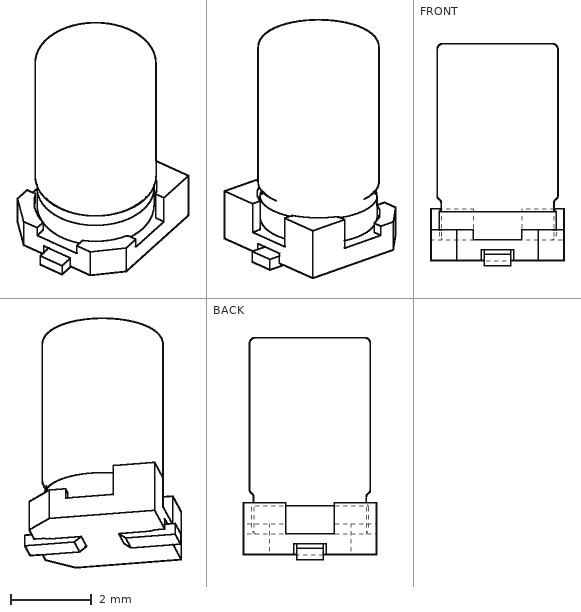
import cadquery as cq
import math

total_height = 5.5
base_width = 3.3
base_bottom = 0.13
floor_height = 0.645
low_post_height = 0.89
tall_post_height = 1.415
notch_width = 1.2
corner_chamfer = 0.64
bore_diameter = 3.04

can_diameter = 3.0
groove_diameter = 2.8
foot_diameter = 2.9
rim_radius = 0.15
foot_shoulder = 1.34
groove_bottom = 1.415
groove_top = 1.56
crimp_angle = math.radians(60)

lead_span = 3.8
lead_width = 0.665
lead_thickness = 0.285
bend_radius = 0.055
lead_inner_gap = 0.945
lead_end_chamfer_length = 0.175
riser_setback = 0.33

slot_width = 0.8
slot_straight_depth = 0.165
slot_top = 0.4


def make_can():
    """Revolved can with rounded ends and a crimped groove above its foot."""
    can_r = can_diameter / 2
    groove_r = groove_diameter / 2
    foot_r = foot_diameter / 2

    crimp_depth = can_r - groove_r
    crimp_radius = crimp_depth / 2 / (1 - math.cos(crimp_angle))
    crimp_rise = crimp_radius * math.sin(crimp_angle)
    arc_mid_in = crimp_radius * (1 - math.cos(crimp_angle / 2))
    arc_mid_rise = crimp_radius * math.sin(crimp_angle / 2)
    crimp_middle = (groove_r + crimp_depth / 2, groove_top + crimp_rise)
    crimp_top = groove_top + 2 * crimp_rise

    shoulder_depth = foot_r - groove_r
    shoulder_rise = groove_bottom - foot_shoulder
    shoulder_radius = (shoulder_depth**2 + shoulder_rise**2) / (2 * shoulder_depth)
    half_angle = math.asin(shoulder_rise / shoulder_radius) / 2
    shoulder_mid = (
        groove_r + shoulder_radius * (1 - math.cos(half_angle)),
        groove_bottom - shoulder_radius * math.sin(half_angle),
    )

    rim_mid = rim_radius * (1 - math.sqrt(0.5))

    profile = (
        cq.Workplane("XZ")
        .moveTo(0, floor_height)
        .lineTo(foot_r - rim_radius, floor_height)
        .threePointArc((foot_r - rim_mid, floor_height + rim_mid), (foot_r, floor_height + rim_radius))
        .lineTo(foot_r, foot_shoulder)
        .threePointArc(shoulder_mid, (groove_r, groove_bottom))
        .lineTo(groove_r, groove_top)
        .threePointArc((groove_r + arc_mid_in, groove_top + arc_mid_rise), crimp_middle)
        .threePointArc((can_r - arc_mid_in, crimp_top - arc_mid_rise), (can_r, crimp_top))
        .lineTo(can_r, total_height - rim_radius)
        .threePointArc((can_r - rim_mid, total_height - rim_mid), (can_r - rim_radius, total_height))
        .lineTo(0, total_height)
        .close()
    )
    return profile.revolve(360, (0, 0, 0), (0, 1, 0))


def make_posts():
    """Base block with a round seat for the can, leaving one post per corner."""
    half = base_width / 2
    block = (
        cq.Workplane("XY", origin=(0, 0, base_bottom))
        .rect(base_width, base_width)
        .extrude(low_post_height - base_bottom)
        .edges("|Z and <Y")
        .chamfer(corner_chamfer)
    )
    seat_depth = tall_post_height - floor_height
    tall_depth = half - notch_width / 2
    tall_posts = (
        cq.Workplane("XY", origin=(0, half - tall_depth / 2, floor_height))
        .rect(base_width, tall_depth)
        .extrude(seat_depth)
    )
    seat = cq.Workplane("XY", origin=(0, 0, floor_height))
    bore = seat.circle(bore_diameter / 2).extrude(seat_depth)
    notch_x = seat.rect(base_width, notch_width).extrude(seat_depth)
    notch_y = seat.rect(notch_width, base_width).extrude(seat_depth)
    return block.union(tall_posts).cut(bore).cut(notch_x).cut(notch_y)


def make_lead_slot():
    """Round-ended slot that opens through the -Y side and the underside."""
    mouth_y = -base_width / 2
    end_center_y = mouth_y + slot_straight_depth
    slot_r = slot_width / 2
    return (
        cq.Workplane("XY", origin=(0, 0, base_bottom))
        .moveTo(-slot_r, mouth_y)
        .lineTo(-slot_r, end_center_y)
        .threePointArc((0, end_center_y + slot_r), (slot_r, end_center_y))
        .lineTo(slot_r, mouth_y)
        .close()
        .extrude(slot_top - base_bottom)
    )


def make_lead():
    """-Y lead: a flat foot under the base that bends up into the slot ceiling."""
    outer_y = -lead_span / 2
    riser_y = -base_width / 2 + riser_setback
    inner_y = -lead_inner_gap / 2
    bend_mid = bend_radius * (1 - math.sqrt(0.5))
    return (
        cq.Workplane("YZ", origin=(-lead_width / 2, 0, 0))
        .moveTo(outer_y, 0)
        .lineTo(inner_y - lead_end_chamfer_length, 0)
        .lineTo(inner_y, base_bottom)
        .lineTo(inner_y, slot_top)
        .lineTo(riser_y, slot_top)
        .lineTo(riser_y, lead_thickness + bend_radius)
        .threePointArc(
            (riser_y - bend_mid, lead_thickness + bend_mid),
            (riser_y - bend_radius, lead_thickness),
        )
        .lineTo(outer_y, lead_thickness)
        .close()
        .extrude(lead_width)
    )


def make_base():
    """Base with a lead in a slot at both the -Y and +Y sides."""
    base = make_posts()
    for angle in (0, 180):
        base = base.cut(make_lead_slot().rotate((0, 0, 0), (0, 0, 1), angle))
        base = base.union(make_lead().rotate((0, 0, 0), (0, 0, 1), angle))
    return base


can = make_can()
base = make_base()
result = cq.Compound.makeCompound([can.val(), base.val()])